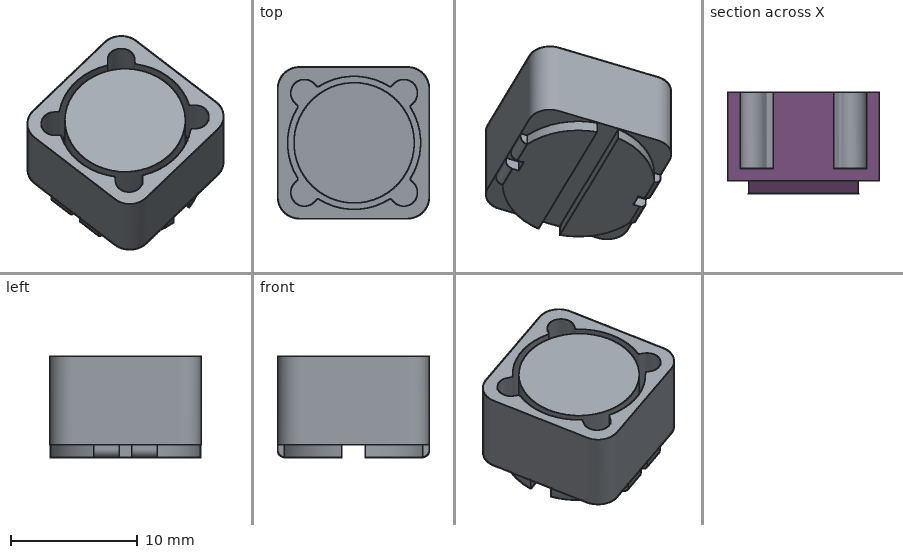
import cadquery as cq
import math

width = 12.0
total_height = 8.0
foot_height = 1.0
corner_radius = 1.75

post_radius = 4.75
groove_radius = 5.25
groove_floor = 2 * foot_height
groove_offset = 0.05
groove_depth = total_height - groove_floor

recess_angles = (45, 135, 225, 315)
recess_radius = 1.08
recess_reach = 3.92 * math.sqrt(2)
neck_round = 0.12

disc_radius = width / 2
flat_distance = 5.46
terminal_gap = 1.82
tab_inner = 0.5
tab_outer = math.sqrt(disc_radius**2 - flat_distance**2)
tab_round = 0.6
notch_distance = 4.92


def make_groove():
    """Ring-shaped cutter with four corner recesses and rounded necks."""
    cutter = cq.Workplane("XY").workplane(offset=groove_floor).circle(groove_radius).extrude(groove_depth)
    for angle in recess_angles:
        recess = (
            cq.Workplane("XY")
            .workplane(offset=groove_floor)
            .center(recess_reach / 2, 0)
            .slot2D(recess_reach + 2 * recess_radius, 2 * recess_radius)
            .extrude(groove_depth)
            .rotate((0, 0, 0), (0, 0, 1), angle)
        )
        cutter = cutter.union(recess)

    neck_half_angle = math.degrees(math.asin(recess_radius / groove_radius))
    for middle in recess_angles:
        for side in (-1, 1):
            angle = math.radians(middle + side * neck_half_angle)
            neck_point = (
                groove_radius * math.cos(angle),
                groove_radius * math.sin(angle),
                groove_floor + groove_depth / 2,
            )
            cutter = cutter.edges(cq.selectors.NearestToPointSelector(neck_point)).fillet(neck_round)

    post = cq.Workplane("XY").workplane(offset=groove_floor).circle(post_radius).extrude(groove_depth)
    return cutter.cut(post)


def make_housing():
    """Rounded square block with the groove sunk into its top face."""
    block = (
        cq.Workplane("XY")
        .workplane(offset=foot_height)
        .rect(width, width)
        .extrude(total_height - foot_height)
        .edges("|Z")
        .fillet(corner_radius)
    )
    return block.cut(make_groove().translate((groove_offset, 0, 0)))


def make_terminal(side):
    """Terminal on the -X (side = -1) or +X (side = 1) half of the underside."""
    plate_length = flat_distance - terminal_gap / 2
    plate_centre = side * (flat_distance + terminal_gap / 2) / 2
    half_plate = (
        cq.Workplane("XY")
        .center(plate_centre, 0)
        .rect(plate_length, 2 * disc_radius)
        .extrude(foot_height)
    )
    terminal = cq.Workplane("XY").circle(disc_radius).extrude(foot_height).intersect(half_plate)

    tab_root = flat_distance - tab_round
    tab_length = width / 2 - tab_root
    tab_centre = (width / 2 + tab_root) / 2
    outer_face = ">X" if side > 0 else "<X"
    for tab_side in (-1, 1):
        tab = (
            cq.Workplane("XY")
            .center(side * tab_centre, tab_side * (tab_inner + tab_outer) / 2)
            .rect(tab_length, tab_outer - tab_inner)
            .extrude(foot_height)
            .faces(outer_face)
            .edges("<Z")
            .fillet(tab_round)
        )
        terminal = terminal.union(tab)

    notch = (
        cq.Workplane("XY")
        .center(side * (notch_distance + width / 2) / 2, 0)
        .rect(width / 2 - notch_distance, 2 * tab_inner)
        .extrude(foot_height)
    )
    return terminal.cut(notch)


housing = make_housing()
terminals = [make_terminal(side) for side in (-1, 1)]

result = cq.Compound.makeCompound([housing.val(), *[terminal.val() for terminal in terminals]])